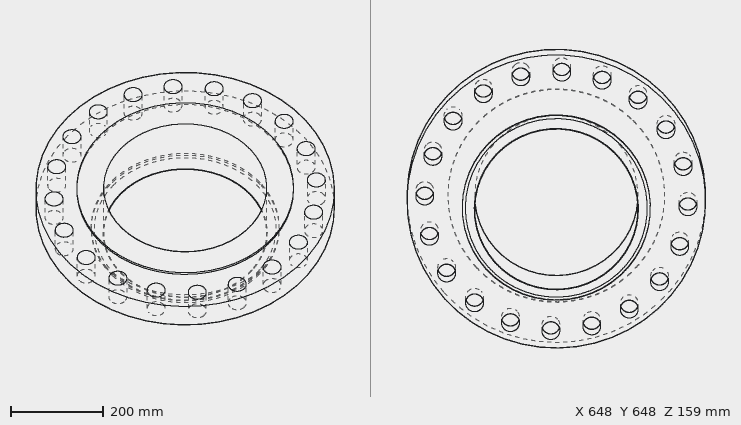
import cadquery as cq
import math

flange_diameter = 648.0
face_diameter = 470.0
total_height = 159.0
face_height = 6.0
flange_thickness = 65.0

hub_top_diameter = 478.0
hub_fillet_radius = 10.5
hub_bottom_diameter = 408.0
bevel_top_diameter = 394.5
weld_tip_diameter = 356.0
bevel_height = 15.0
land_height = 6.5

bore_diameter = 353.5

bolt_count = 20
bolt_circle_diameter = 571.0
bolt_hole_diameter = 39.0

land_top = bevel_height + land_height
flange_top = total_height - face_height
flange_bottom = flange_top - flange_thickness

taper_angle = math.atan2((hub_top_diameter - hub_bottom_diameter) / 2, flange_bottom - land_top)
fillet_tangent_length = hub_fillet_radius * math.tan(math.pi / 4 - taper_angle / 2)
fillet_start_radius = hub_top_diameter / 2 - fillet_tangent_length * math.sin(taper_angle)
fillet_start_height = flange_bottom - fillet_tangent_length * math.cos(taper_angle)
fillet_end_radius = hub_top_diameter / 2 + fillet_tangent_length


def revolved_body():
    """Half section in the XZ plane, turned about the Z axis."""
    profile = (
        cq.Workplane("XZ")
        .moveTo(bore_diameter / 2, 0)
        .lineTo(weld_tip_diameter / 2, 0)
        .lineTo(bevel_top_diameter / 2, bevel_height)
        .lineTo(hub_bottom_diameter / 2, bevel_height)
        .lineTo(hub_bottom_diameter / 2, land_top)
        .lineTo(fillet_start_radius, fillet_start_height)
        .radiusArc((fillet_end_radius, flange_bottom), hub_fillet_radius)
        .lineTo(flange_diameter / 2, flange_bottom)
        .lineTo(flange_diameter / 2, flange_top)
        .lineTo(face_diameter / 2, flange_top)
        .lineTo(face_diameter / 2, total_height)
        .lineTo(bore_diameter / 2, total_height)
        .close()
    )
    return profile.revolve(360, (0, 0, 0), (0, 1, 0))


def bolt_holes():
    """Cutters for the bolt holes, with one hole on the +X axis."""
    return (
        cq.Workplane("XY")
        .workplane(offset=flange_bottom)
        .polarArray(bolt_circle_diameter / 2, 0, 360, bolt_count)
        .circle(bolt_hole_diameter / 2)
        .extrude(flange_thickness)
    )


result = revolved_body().cut(bolt_holes())